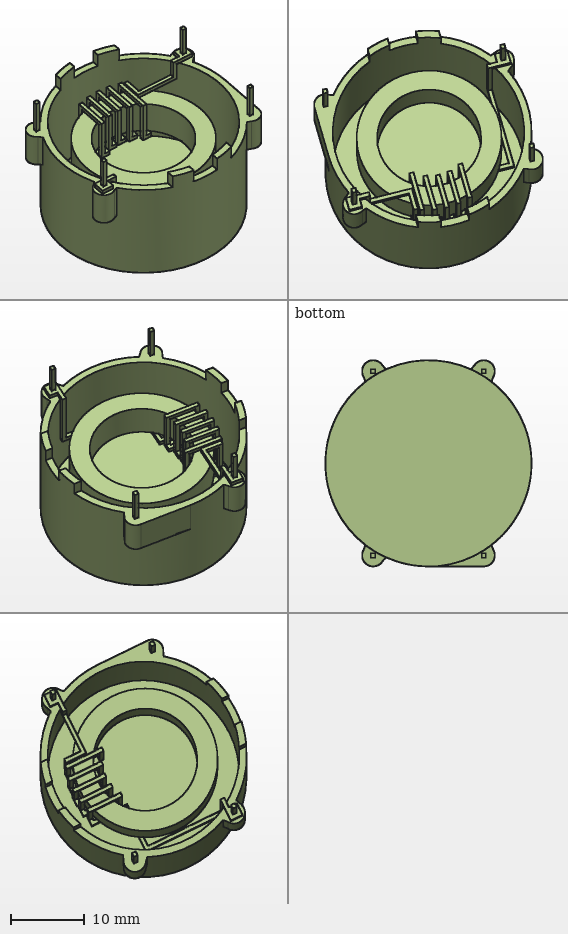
import cadquery as cq
import math

housing_radius = 14.0
wall = 1.0
floor_thickness = 1.0
housing_height = 15.0
inner_radius = housing_radius - wall

tab_height = 2.0
tab_inner_y = 2.0
tab_outer_y = 5.0

lug_radius = 1.5
lug_height = 5.0
lug_x = 7.5
lug_y = housing_radius - lug_radius
lug_bottom = housing_height - lug_height
lug_base_half_width = 1.65
lug_base_distance = 13.83
lug_places = [(x, y) for x in (-lug_x, lug_x) for y in (-lug_y, lug_y)]

pin_side = 0.6
pin_top = 20.0

wire = 0.6
pad_side = 1.8

core_x = 0.2
core_y = -0.15
core_outer_radius = 9.83
core_inner_radius = 7.05
core_bottom = 7.35
core_top = 12.2

turn_count = 5
turn_pitch = 1.68
turn_skew = 0.8
first_bar_y = 4.4
first_bar_end_x = -9.4
upper_gap = 0.22
outer_gap = 0.3
inner_gap = 0.62
upper_level = core_top + upper_gap + wire / 2
lower_level = core_bottom - wire / 2
pad_level = housing_height + wire / 2
outer_leg_radius = core_outer_radius + outer_gap + wire / 2
inner_leg_radius = core_inner_radius - inner_gap - wire / 2

lead_x = lug_x - pad_side / 2 + wire / 2
lead_y = 10.45
exit_x = -4.62


def disc(radius, bottom, top):
    return cq.Workplane("XY").workplane(offset=bottom).circle(radius).extrude(top - bottom)


def block(x_range, y_range, z_range):
    size = [high - low for low, high in (x_range, y_range, z_range)]
    corner = (x_range[0], y_range[0], z_range[0])
    return cq.Workplane("XY").box(*size, centered=False).translate(corner)


def make_pin(x, y):
    """Square pin from the underside of its lug to the top of the part."""
    return (
        cq.Workplane("XY")
        .workplane(offset=lug_bottom)
        .center(x, y)
        .rect(pin_side, pin_side)
        .extrude(pin_top - lug_bottom)
    )


def make_lug(x, y):
    """Round lug with a web that widens slightly towards the housing axis."""
    distance = math.hypot(lug_x, lug_y)
    web = (
        cq.Workplane("XY")
        .workplane(offset=lug_bottom)
        .polyline([
            (distance, -lug_radius),
            (distance, lug_radius),
            (lug_base_distance, lug_base_half_width),
            (inner_radius, lug_base_half_width),
            (inner_radius, -lug_base_half_width),
            (lug_base_distance, -lug_base_half_width),
        ])
        .close()
        .extrude(lug_height)
        .rotate((0, 0, 0), (0, 0, 1), math.degrees(math.atan2(y, x)))
    )
    return disc(lug_radius, lug_bottom, housing_height).translate((x, y, 0)).union(web)


def make_tabs():
    """Ring above the rim, cut down to four short arcs."""
    top = housing_height + tab_height
    z_range = (housing_height, top)
    bands = block((-housing_radius, housing_radius), (tab_inner_y, tab_outer_y), z_range)
    bands = bands.union(bands.mirror("XZ"))
    return disc(housing_radius, *z_range).intersect(bands)


def make_housing():
    body = disc(housing_radius, 0, housing_height)
    for x, y in lug_places:
        body = body.union(make_lug(x, y))
    flank = block((0, lug_x), (lug_y - lug_radius, housing_radius),
                  (lug_bottom, housing_height))
    body = body.union(flank).union(make_tabs())
    body = body.cut(disc(inner_radius, floor_thickness, housing_height + tab_height))
    for x, y in lug_places:
        body = body.cut(make_pin(x, y))
    return body


def make_core():
    ring = disc(core_outer_radius, core_bottom, core_top).cut(
        disc(core_inner_radius, core_bottom, core_top))
    return ring.translate((core_x, core_y, 0))


def make_pad(x, y):
    """Flat square pad that lies on a lug."""
    return (
        cq.Workplane("XY")
        .workplane(offset=housing_height)
        .center(x, y)
        .rect(pad_side, pad_side)
        .extrude(wire)
    )


def leg_x(radius, y):
    """X of a leg that keeps the given radius from the core axis at the given y, on its -X side."""
    return core_x - math.sqrt(radius ** 2 - (y - core_y) ** 2)


def wire_path():
    """Centre line of the wire, from the pad at -X, +Y to the pad at +X, -Y."""
    path = [
        (-lead_x, lug_y, pad_level),
        (-lead_x, lead_y, pad_level),
        (-lead_x, lead_y, upper_level),
        (-lead_x, first_bar_y, upper_level),
        (first_bar_end_x, first_bar_y, upper_level),
        (first_bar_end_x, first_bar_y, lower_level),
    ]
    for turn in range(turn_count):
        lower_y = first_bar_y - turn * turn_pitch
        upper_y = lower_y - turn_skew
        next_lower_y = lower_y - turn_pitch
        inner_x = leg_x(inner_leg_radius, upper_y)
        outer_x = leg_x(outer_leg_radius, (upper_y + next_lower_y) / 2)
        path += [
            (inner_x, lower_y, lower_level),
            (inner_x, upper_y, lower_level),
            (inner_x, upper_y, upper_level),
            (outer_x, upper_y, upper_level),
            (outer_x, upper_y, lower_level),
            (outer_x, next_lower_y, lower_level),
        ]
    path += [
        (exit_x, first_bar_y - turn_count * turn_pitch, lower_level),
        (exit_x, -lead_y, lower_level),
        (lead_x, -lead_y, lower_level),
        (lead_x, -lead_y, pad_level),
        (lead_x, -lug_y, pad_level),
    ]
    return path


def make_wire_run(start, end):
    """Straight square bar between two corners of the wire, covering both corners."""
    ranges = [(min(a, b) - wire / 2, max(a, b) + wire / 2) for a, b in zip(start, end)]
    return block(*ranges)


def make_wound_core():
    """Core with the wire coiled around it and the two pads at the ends of the wire."""
    body = make_core()
    path = wire_path()
    for start, end in zip(path, path[1:]):
        body = body.union(make_wire_run(start, end))
    for x, y in ((-lug_x, lug_y), (lug_x, -lug_y)):
        body = body.union(make_pad(x, y)).cut(make_pin(x, y))
    return body


housing = make_housing()
wound_core = make_wound_core()
pins = [make_pin(x, y).val() for x, y in lug_places]

result = cq.Compound.makeCompound([
    *housing.solids().vals(),
    *wound_core.solids().vals(),
    *pins,
])